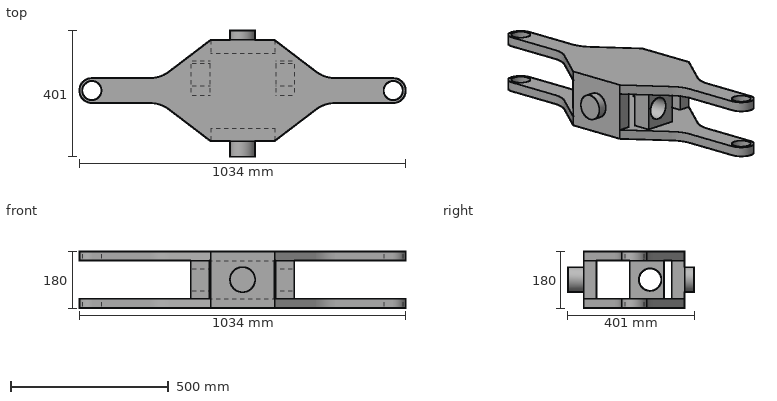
import cadquery as cq

length = 1034.0
height = 180.0
plate_thickness = 30.0
arm_width = 80.0
eye_diameter = 60.0
body_width = 321.0
body_flat_length = 203.0
taper_end_x = 260.0
neck_radius = 100.0

wall_thickness = 41.0
pin_diameter = 80.0
front_pin_length = 50.0
back_pin_length = 30.0

block_length = 60.0
block_outer_x = 164.0
block_front_y = -14.0
block_back_y = 95.0
bore_diameter = 70.0
bore_y = 51.0

gap = height - 2 * plate_thickness
eye_x = (length - arm_width) / 2
half_body = body_width / 2
half_flat = body_flat_length / 2
half_arm = arm_width / 2
selection_margin = 10.0


def make_plate(bottom_z):
    """Tapered body with a straight arm and a round eye at each end."""
    plate = (
        cq.Workplane("XY")
        .workplane(offset=bottom_z)
        .moveTo(-eye_x, half_arm)
        .lineTo(-taper_end_x, half_arm)
        .lineTo(-half_flat, half_body)
        .lineTo(half_flat, half_body)
        .lineTo(taper_end_x, half_arm)
        .lineTo(eye_x, half_arm)
        .threePointArc((length / 2, 0), (eye_x, -half_arm))
        .lineTo(taper_end_x, -half_arm)
        .lineTo(half_flat, -half_body)
        .lineTo(-half_flat, -half_body)
        .lineTo(-taper_end_x, -half_arm)
        .lineTo(-eye_x, -half_arm)
        .threePointArc((-length / 2, 0), (-eye_x, half_arm))
        .close()
        .extrude(plate_thickness)
    )
    neck_zone = cq.selectors.BoxSelector(
        (-taper_end_x - selection_margin, -half_arm - selection_margin, -height),
        (taper_end_x + selection_margin, half_arm + selection_margin, height),
    )
    plate = plate.edges("|Z").edges(neck_zone).fillet(neck_radius)
    eyes = (
        cq.Workplane("XY")
        .workplane(offset=bottom_z)
        .pushPoints([(-eye_x, 0), (eye_x, 0)])
        .circle(eye_diameter / 2)
        .extrude(plate_thickness)
    )
    return plate.cut(eyes)


def make_wall(side, pin_length):
    """Wall joining the plates at one side (-1 front, 1 back), with its pin."""
    wall = cq.Workplane("XY").box(body_flat_length, wall_thickness, gap)
    wall = wall.translate((0, side * (half_body - wall_thickness / 2), 0))
    pin = (
        cq.Workplane("XZ", origin=(0, side * half_body, 0))
        .circle(pin_diameter / 2)
        .extrude(-side * pin_length)
    )
    return wall.union(pin)


def make_block(side):
    """Block at one end (-1 left, 1 right), bored through along X."""
    block_x = side * (block_outer_x - block_length / 2)
    block_y = (block_front_y + block_back_y) / 2
    block = cq.Workplane("XY").box(block_length, block_back_y - block_front_y, gap)
    block = block.translate((block_x, block_y, 0))
    bore = (
        cq.Workplane("YZ", origin=(block_x - block_length / 2, bore_y, 0))
        .circle(bore_diameter / 2)
        .extrude(block_length)
    )
    return block.cut(bore)


result = make_plate(-height / 2).union(make_wall(-1, front_pin_length))
result = result.union(make_wall(1, back_pin_length))
for end in (-1, 1):
    result = result.union(make_block(end))
result = result.union(make_plate(gap / 2))